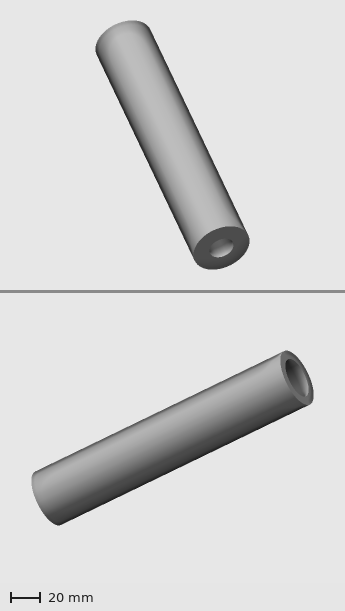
import cadquery as cq

length = 203.0
outer_diameter = 40.0
bore_diameter_wide = 27.8
bore_diameter_narrow = 17.3

half_length = length / 2
wall_profile = (
    cq.Workplane("XY")
    .moveTo(-half_length, bore_diameter_wide / 2)
    .lineTo(-half_length, outer_diameter / 2)
    .lineTo(half_length, outer_diameter / 2)
    .lineTo(half_length, bore_diameter_narrow / 2)
    .close()
)

result = wall_profile.revolve(360, (0, 0, 0), (1, 0, 0))